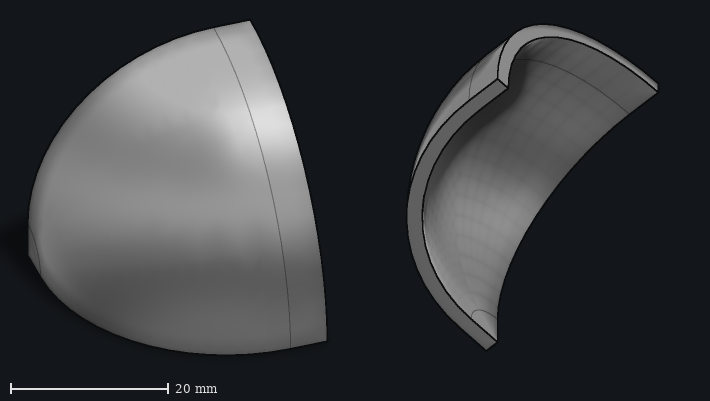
import cadquery as cq
import math

outer_radius = 30.0
wall = 2.0
flat_radius = 5.0
bend_radius = outer_radius - flat_radius
rim_length = outer_radius - bend_radius
sweep_angle = 90.0

rim_y = bend_radius
back_y = rim_y + rim_length
inner_bend_radius = bend_radius - wall


def arc_middle(radius):
    """Midpoint of a dome arc centred at (flat_radius, rim_y)."""
    offset = radius * math.sqrt(0.5)
    return (flat_radius + offset, rim_y - offset)


section = (
    cq.Workplane("XY")
    .moveTo(0, 0)
    .lineTo(flat_radius, 0)
    .threePointArc(arc_middle(bend_radius), (outer_radius, rim_y))
    .lineTo(outer_radius, back_y)
    .lineTo(outer_radius - wall, back_y)
    .lineTo(outer_radius - wall, rim_y)
    .threePointArc(arc_middle(inner_bend_radius), (flat_radius, wall))
    .lineTo(0, wall)
    .close()
)

result = section.revolve(sweep_angle, (0, 0, 0), (0, -1, 0))